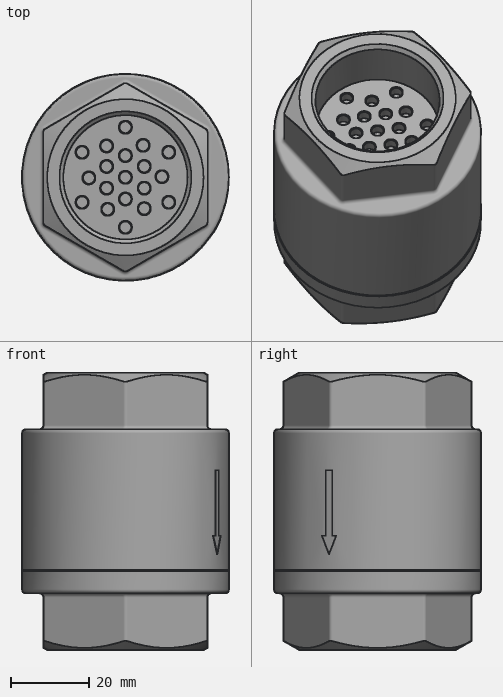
import cadquery as cq
import math

total_height = 71.0
hex_height = 14.5
joint_height = 20.4
lower_shoulder = hex_height
upper_shoulder = total_height - hex_height

barrel_diameter = 53.0
barrel_radius = barrel_diameter / 2
barrel_edge_radius = 1.0
joint_chamfer = 0.2

across_flats = 42.0
hex_corner_radius = 1.0
hex_root_radius = 1.0
end_face_diameter = 40.0
end_chamfer_angle = 30.0

bore_diameter = 31.77
bore_depth = 14.5
bore_chamfer = 1.0

strainer_hole_diameter = 3.0
strainer_hole_depth = 3.0
strainer_hole_chamfer = 0.2
strainer_holes_per_ring = 6
strainer_rings = [(5.55, 30.0), (9.35, 1.0), (12.8, 30.0)]

arrow_height = 0.09
arrow_center_y = -12.4
arrow_top = 46.0
arrow_neck = 29.2
arrow_tip = 24.5
arrow_shaft_width = 1.6
arrow_head_width = 3.6


def hex_end():
    """Hexagon from z = 0 up to hex_height, its free end at the top chamfered by a cone."""
    across_corners = across_flats / math.cos(math.radians(30))
    prism = (
        cq.Workplane("XY")
        .polygon(6, across_corners)
        .extrude(hex_height)
        .rotate((0, 0, 0), (0, 0, 1), 30)
        .edges("|Z")
        .fillet(hex_corner_radius)
    )
    end_radius = end_face_diameter / 2
    cone_drop = (barrel_radius - end_radius) * math.tan(math.radians(end_chamfer_angle))
    envelope = (
        cq.Workplane("XZ")
        .moveTo(0, 0)
        .lineTo(barrel_radius, 0)
        .lineTo(barrel_radius, hex_height - cone_drop)
        .lineTo(end_radius, hex_height)
        .lineTo(0, hex_height)
        .close()
        .revolve(360, (0, 0, 0), (0, 1, 0))
    )
    return prism.intersect(envelope)


def bore_cutter():
    """Chamfered bore that opens at z = hex_height and runs down by bore_depth."""
    bore_radius = bore_diameter / 2
    mouth_radius = bore_radius + bore_chamfer
    return (
        cq.Workplane("XZ")
        .moveTo(0, hex_height - bore_depth)
        .lineTo(bore_radius, hex_height - bore_depth)
        .lineTo(bore_radius, hex_height - bore_chamfer)
        .lineTo(mouth_radius, hex_height)
        .lineTo(0, hex_height)
        .close()
        .revolve(360, (0, 0, 0), (0, 1, 0))
    )


def fitting_end(barrel_length):
    """Barrel below z = 0 with a bored hexagon standing on it.

    The barrel's lower edge is chamfered, so that two ends set face to face form a V groove.
    """
    barrel = (
        cq.Workplane("XY")
        .circle(barrel_radius)
        .extrude(-barrel_length)
        .faces(">Z")
        .edges()
        .fillet(barrel_edge_radius)
        .faces("<Z")
        .edges()
        .chamfer(joint_chamfer)
    )
    reach = barrel_radius - 1.5 * barrel_edge_radius
    margin = hex_root_radius / 10
    root_zone = cq.selectors.BoxSelector(
        (-reach, -reach, -margin), (reach, reach, margin), boundingbox=True
    )
    return barrel.union(hex_end()).edges(root_zone).fillet(hex_root_radius).cut(bore_cutter())


def strainer_holes():
    """Chamfered blind holes below z = 0: one at the centre and three rings around it."""
    points = [(0, 0)]
    for ring_radius, first_angle in strainer_rings:
        for index in range(strainer_holes_per_ring):
            angle = math.radians(first_angle + index * 360 / strainer_holes_per_ring)
            points.append((ring_radius * math.cos(angle), ring_radius * math.sin(angle)))
    hole_radius = strainer_hole_diameter / 2
    mouth_radius = hole_radius + strainer_hole_chamfer
    hole = (
        cq.Workplane("XZ")
        .moveTo(0, -strainer_hole_depth)
        .lineTo(hole_radius, -strainer_hole_depth)
        .lineTo(hole_radius, -strainer_hole_chamfer)
        .lineTo(mouth_radius, 0)
        .lineTo(0, 0)
        .close()
        .revolve(360, (0, 0, 0), (0, 1, 0))
        .val()
    )
    return cq.Workplane("XY").pushPoints(points).eachpoint(lambda place: hole.moved(place))


def flow_arrow():
    """Arrow-shaped pad that follows the barrel surface."""
    half_shaft = arrow_shaft_width / 2
    half_head = arrow_head_width / 2
    outline = [
        (arrow_center_y - half_shaft, arrow_top),
        (arrow_center_y + half_shaft, arrow_top),
        (arrow_center_y + half_shaft, arrow_neck),
        (arrow_center_y + half_head, arrow_neck),
        (arrow_center_y, arrow_tip),
        (arrow_center_y - half_head, arrow_neck),
        (arrow_center_y - half_shaft, arrow_neck),
    ]
    prism = cq.Workplane("YZ").polyline(outline).close().extrude(barrel_diameter)
    skin = (
        cq.Workplane("XY")
        .circle(barrel_radius + arrow_height)
        .circle(barrel_radius)
        .extrude(total_height)
    )
    return prism.intersect(skin)


strainer_floor = upper_shoulder + hex_height - bore_depth
housing = (
    fitting_end(upper_shoulder - joint_height)
    .translate((0, 0, upper_shoulder))
    .cut(strainer_holes().translate((0, 0, strainer_floor)))
    .union(flow_arrow())
)

end_cap = (
    fitting_end(joint_height - lower_shoulder)
    .rotate((0, 0, 0), (1, 0, 0), 180)
    .translate((0, 0, lower_shoulder))
)

result = cq.Compound.makeCompound([housing.val(), end_cap.val()])